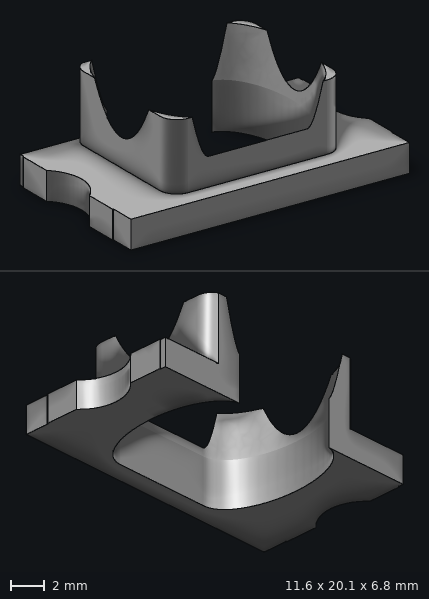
import cadquery as cq
import math

plate_width = 11.57
plate_length = 20.05
plate_thickness = 2.0
total_height = 6.8

centre_x = 5.07
raised_edge_width = 9.36
edge_recess = 0.06

notch_radius = 3.0
notch_depth = 1.0

block_width = 10.39
block_length = 12.35
block_corner_radius = 1.2

opening_half_width = 5.1
opening_end_height = 2.57
opening_straight_half_length = 3.5
flare_start_height = 3.33
flare_angle = 8.5


def make_plate():
    """Plate with slightly raised edge centres and a round notch at each end."""
    main_length = plate_length - 2 * edge_recess
    plate = cq.Workplane("XY").center(plate_width / 2, 0).rect(plate_width, main_length)
    plate = plate.extrude(plate_thickness)
    raised = cq.Workplane("XY").center(centre_x, 0).rect(raised_edge_width, plate_length)
    plate = plate.union(raised.extrude(plate_thickness))
    notch_centre_y = plate_length / 2 - notch_depth + notch_radius
    for side in (-1, 1):
        notch = cq.Workplane("XY").center(centre_x, side * notch_centre_y).circle(notch_radius)
        plate = plate.cut(notch.extrude(plate_thickness))
    return plate


def make_block():
    """Rounded block trimmed flush with the open side of the plate."""
    block = cq.Workplane("XY").center(centre_x, 0).rect(block_width, block_length)
    block = block.extrude(total_height).edges("|Z").fillet(block_corner_radius)
    trim = cq.Workplane("XY").rect(plate_width, plate_length).extrude(total_height)
    return block.cut(trim.translate((-plate_width / 2, 0, 0)))


def opening_outline(workplane, offset):
    """Draw the opening outline, enlarged outward by the given offset."""
    half_width = opening_half_width + offset
    end_height = opening_end_height + offset
    straight = opening_straight_half_length
    return (
        workplane.moveTo(half_width, -straight)
        .lineTo(half_width, straight)
        .ellipseArc(half_width, end_height, 0, 180, startAtCurrent=True)
        .lineTo(-half_width, -straight)
        .ellipseArc(half_width, end_height, 180, 360, startAtCurrent=True)
        .close()
    )


def make_opening():
    """Straight lower opening with a flared upper part."""
    flare_height = total_height - flare_start_height
    flare_offset = flare_height * math.tan(math.radians(flare_angle))
    straight = opening_outline(cq.Workplane("XY"), 0).extrude(flare_start_height)
    flare = opening_outline(cq.Workplane("XY").workplane(offset=flare_start_height), 0)
    flare = opening_outline(flare.workplane(offset=flare_height), flare_offset).loft(ruled=True)
    return straight.union(flare).translate((centre_x, 0, 0))


result = make_plate().union(make_block()).cut(make_opening())